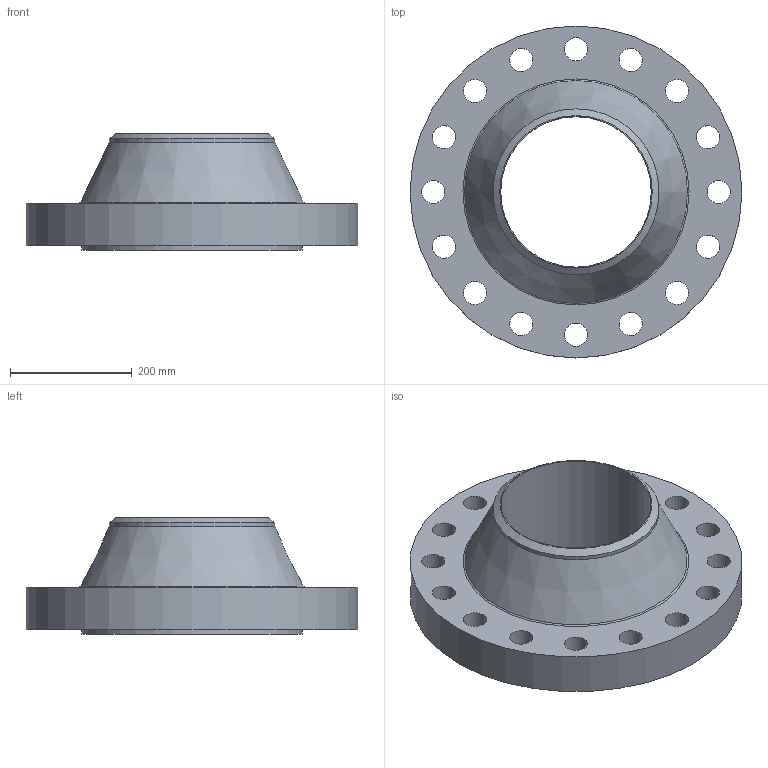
import cadquery as cq
import math

FLANGE_DIAMETER = 545.95
FACE_DIAMETER = 361.95
FACE_HEIGHT = 7.94
FLANGE_THICKNESS = 69.85
TOTAL_HEIGHT = 192.09

BORE_DIAMETER = 247.65
NECK_DIAMETER = 273.0
HUB_BASE_DIAMETER = 368.0
NECK_STRAIGHT_LENGTH = 6.35
HUB_FILLET_RADIUS = 3.0
WELD_LAND_WIDTH = 1.6
WELD_BEVEL_ANGLE = 37.5

BOLT_COUNT = 16
BOLT_CIRCLE_DIAMETER = 469.9
BOLT_HOLE_DIAMETER = 38.1

bore_radius = BORE_DIAMETER / 2
neck_radius = NECK_DIAMETER / 2
hub_base_radius = HUB_BASE_DIAMETER / 2
weld_land_radius = bore_radius + WELD_LAND_WIDTH
bevel_height = (neck_radius - weld_land_radius) * math.tan(math.radians(WELD_BEVEL_ANGLE))
flange_top = FACE_HEIGHT + FLANGE_THICKNESS
bevel_bottom = TOTAL_HEIGHT - bevel_height
hub_top = bevel_bottom - NECK_STRAIGHT_LENGTH


def make_flange_body():
    """Revolve the ring, tapered hub and beveled neck, then round the hub root."""
    profile = (
        cq.Workplane("XZ")
        .moveTo(bore_radius, 0)
        .lineTo(FACE_DIAMETER / 2, 0)
        .lineTo(FACE_DIAMETER / 2, FACE_HEIGHT)
        .lineTo(FLANGE_DIAMETER / 2, FACE_HEIGHT)
        .lineTo(FLANGE_DIAMETER / 2, flange_top)
        .lineTo(hub_base_radius, flange_top)
        .lineTo(neck_radius, hub_top)
        .lineTo(neck_radius, bevel_bottom)
        .lineTo(weld_land_radius, TOTAL_HEIGHT)
        .lineTo(bore_radius, TOTAL_HEIGHT)
        .close()
    )
    body = profile.revolve(360, (0, 0, 0), (0, 1, 0))
    hub_root = cq.selectors.RadiusNthSelector(-2)
    return body.edges("%CIRCLE").edges(hub_root).fillet(HUB_FILLET_RADIUS)


def make_bolt_holes():
    """Cylinders through the ring, evenly spaced with one on the +X axis."""
    return (
        cq.Workplane("XY")
        .polarArray(BOLT_CIRCLE_DIAMETER / 2, 0, 360, BOLT_COUNT)
        .circle(BOLT_HOLE_DIAMETER / 2)
        .extrude(flange_top)
    )


result = make_flange_body().cut(make_bolt_holes())